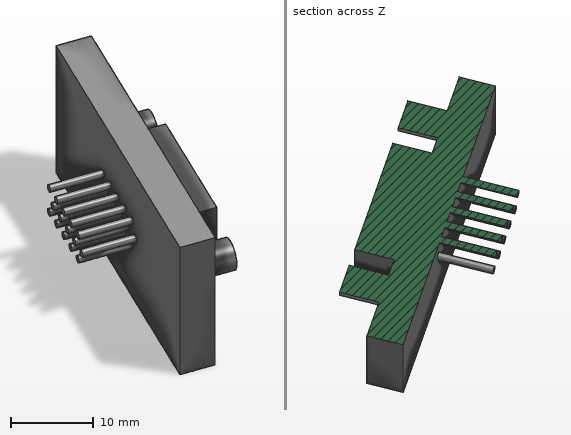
import cadquery as cq

plate_length = 39.4
plate_height = 21.0
plate_thickness = 4.65

rear_depth = 5.0
body_length = 16.27
body_height = 7.95
post_diameter = 4.18
post_spacing = 24.98

pin_diameter = 1.0
pin_length = 7.1
pin_pitch = 2.3
pins_per_row = 5
row_pitch = 1.97
pin_field_offset = 0.3
row_shift = pin_pitch / 4


def box_along_y(length, height, y_start, y_end):
    """Box centred on X and Z, reaching from y_start to y_end."""
    depth = y_end - y_start
    return cq.Workplane("XY").box(length, depth, height).translate((0, y_start + depth / 2, 0))


def cylinders_along_y(centers, diameter, y_start, y_end):
    """Round bars at the given (x, z) centers, reaching from y_start to y_end."""
    base = cq.Workplane("XZ", origin=(0, y_end, 0))
    return base.pushPoints(centers).circle(diameter / 2).extrude(y_end - y_start)


def pin_centers():
    """Staggered (x, z) pin positions, row by row."""
    centers = []
    for row in (-1, 0, 1):
        stagger = row_shift if row == 0 else -row_shift
        for column in range(pins_per_row):
            column_x = (column - (pins_per_row - 1) / 2) * pin_pitch
            centers.append((pin_field_offset + stagger + column_x, row * row_pitch))
    return centers


rear_face = plate_thickness + rear_depth
post_centers = [(-post_spacing / 2, 0), (post_spacing / 2, 0)]

plate = box_along_y(plate_length, plate_height, 0, plate_thickness)
body = box_along_y(body_length, body_height, plate_thickness, rear_face)
posts = cylinders_along_y(post_centers, post_diameter, plate_thickness, rear_face)
pins = cylinders_along_y(pin_centers(), pin_diameter, -pin_length, 0)

result = plate.union(body).union(posts).union(pins)